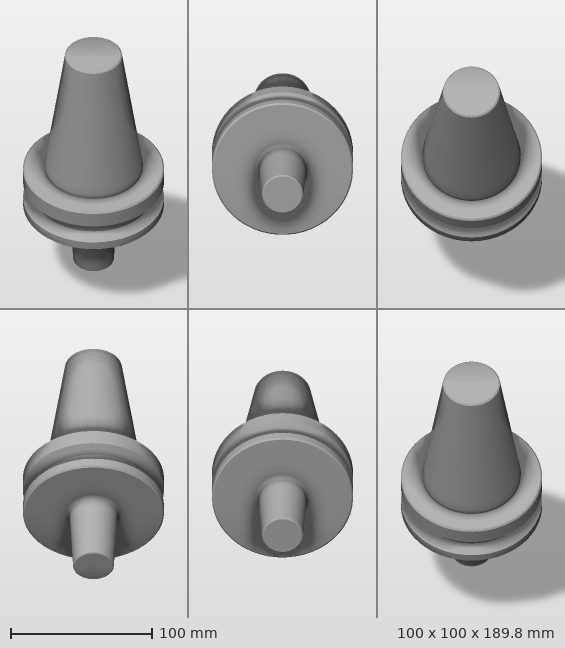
import cadquery as cq
import math

shank_length = 102.0
gauge_radius = 35.0
taper_per_length = 7 / 24
shank_top_radius = gauge_radius - shank_length * taper_per_length / 2
shank_top_chamfer = 1.0

neck_length = 2.8
neck_radius = 34.7
neck_step_height = 1.0

flange_radius = 50.01
flange_thickness = 35.0
flange_chamfer = 1.1
groove_floor_radius = 42.5
groove_floor_width = 6.8
groove_center_depth = 20.1
groove_wall_angle = 28

overall_length = 189.8
nose_tip_radius = 14.5
nose_taper_angle = 3
nose_tip_chamfer = 0.8
nose_root_fillet = 3.0

flange_top = -neck_length
flange_bottom = flange_top - flange_thickness
nose_tip = shank_length - overall_length
nose_root_radius = nose_tip_radius + (flange_bottom - nose_tip) * math.tan(math.radians(nose_taper_angle))


def make_shank():
    cone = (
        cq.Workplane("XZ")
        .polyline([(0, 0), (gauge_radius, 0), (shank_top_radius, shank_length), (0, shank_length)])
        .close()
        .revolve(360, (0, 0, 0), (0, 1, 0))
    )
    return cone.faces(">Z").edges().chamfer(shank_top_chamfer)


def make_neck():
    step = cq.Workplane("XY").circle(gauge_radius).extrude(-neck_step_height)
    neck = cq.Workplane("XY").circle(neck_radius).extrude(-neck_length)
    return neck.union(step)


def make_flange():
    disc = (
        cq.Workplane("XY", origin=(0, 0, flange_bottom))
        .circle(flange_radius)
        .extrude(flange_thickness)
        .faces("<Z or >Z")
        .edges()
        .chamfer(flange_chamfer)
    )
    groove_center = flange_top - groove_center_depth
    floor_half = groove_floor_width / 2
    groove_depth = flange_radius - groove_floor_radius
    mouth_half = floor_half + groove_depth * math.tan(math.radians(groove_wall_angle))
    groove = (
        cq.Workplane("XZ")
        .polyline([
            (groove_floor_radius, groove_center - floor_half),
            (flange_radius, groove_center - mouth_half),
            (flange_radius, groove_center + mouth_half),
            (groove_floor_radius, groove_center + floor_half),
        ])
        .close()
        .revolve(360, (0, 0, 0), (0, 1, 0))
    )
    return disc.cut(groove)


def make_nose():
    cone = (
        cq.Workplane("XZ")
        .polyline([
            (0, nose_tip),
            (nose_tip_radius, nose_tip),
            (nose_root_radius, flange_bottom),
            (0, flange_bottom),
        ])
        .close()
        .revolve(360, (0, 0, 0), (0, 1, 0))
    )
    return cone.faces("<Z").edges().chamfer(nose_tip_chamfer)


body = make_flange().union(make_nose())

root_edge = cq.selectors.BoxSelector(
    (-flange_radius, -flange_radius, flange_bottom - nose_root_fillet),
    (flange_radius, flange_radius, flange_bottom + nose_root_fillet),
)
body = body.edges(root_edge).edges(cq.selectors.RadiusNthSelector(0)).fillet(nose_root_fillet)

result = body.union(make_neck()).union(make_shank())